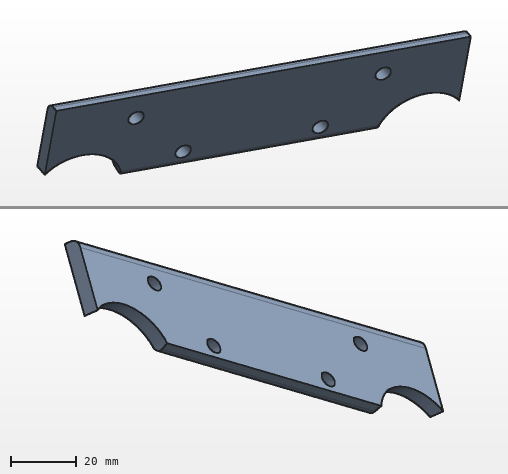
import cadquery as cq
import math

length = 136.0
height = 32.6
thickness = 6.0
lean = math.radians(20)
top_radius = 5.0
bottom_radius = 3.0

bite_radius = 15.0
bite_inset = 11.5
bite_drop = 35.9

hole_diameter = 5.0
upper_hole_spacing = 81.0
upper_hole_drop = 9.1
lower_hole_spacing = 45.0
lower_hole_drop = 27.0

rounding_lift = bottom_radius * (math.sin(lean) + math.cos(lean) - 1)
lower_back_z = -height / 2 - rounding_lift
lower_front_z = lower_back_z + thickness * math.sin(lean)
top_z = height / 2
top_width = thickness / math.cos(lean)


def front_face_x(z):
    """X of the sloping -X face at height z."""
    return z * math.tan(lean) - top_width / 2


def leaning_plate():
    """Leaning plate with a level top, a square-cut bottom and two rounded edges."""
    profile = [
        (front_face_x(lower_front_z), lower_front_z),
        (front_face_x(top_z), top_z),
        (front_face_x(top_z) + top_width, top_z),
        (front_face_x(lower_back_z) + top_width, lower_back_z),
    ]
    plate = cq.Workplane("XZ").polyline(profile).close().extrude(length / 2, both=True)
    plate = plate.faces(">Z").edges("<X").fillet(top_radius)
    return plate.edges("|Y").edges("<Z").fillet(bottom_radius)


def cross_cylinders(radius, spacing, drop):
    """Pair of cylinders along X, symmetric about Y = 0, at a depth below the top."""
    centers = [(side * spacing / 2, top_z - drop) for side in (-1, 1)]
    return cq.Workplane("YZ").pushPoints(centers).circle(radius).extrude(height, both=True)


end_bites = cross_cylinders(bite_radius, length - 2 * bite_inset, bite_drop)
upper_holes = cross_cylinders(hole_diameter / 2, upper_hole_spacing, upper_hole_drop)
lower_holes = cross_cylinders(hole_diameter / 2, lower_hole_spacing, lower_hole_drop)

result = leaning_plate().cut(end_bites).cut(upper_holes).cut(lower_holes)